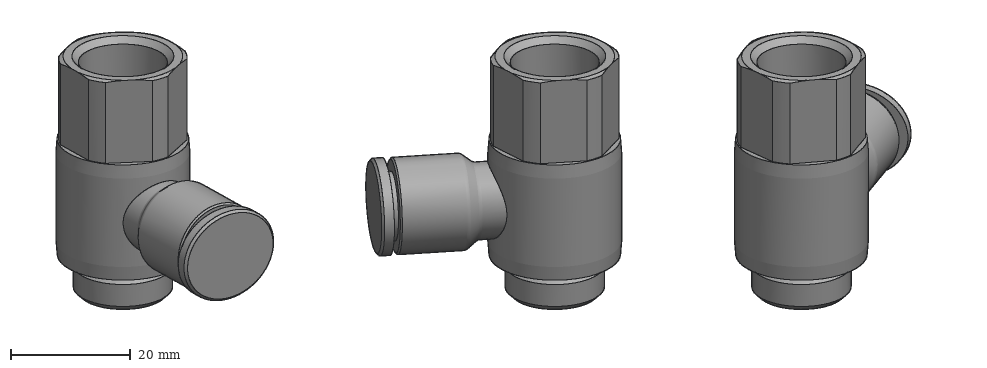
import cadquery as cq
import math

TOTAL_HEIGHT = 43.0
TOTAL_LENGTH = 41.8

BARREL_RADIUS = 22.4 / 2
BARREL_END_RADIUS = 11.0
BARREL_BOTTOM = 6.95
BARREL_TOP = 28.0
BARREL_TAPER_LENGTH = 2.45

SPIGOT_RADIUS = 16.65 / 2
SPIGOT_CHAMFER = 1.0
GROOVE_RADIUS = SPIGOT_RADIUS - SPIGOT_CHAMFER
GROOVE_BOTTOM = 5.98
GROOVE_TOP = 6.4
GROOVE_FLARE_RADIUS = 7.55

HEX_SIDES = 6
HEX_ACROSS_FLATS = 20.0
HEX_CORNER_RADIUS = 10.75
HEX_CHAMFER_ANGLE = 20.0

THROUGH_BORE_RADIUS = 5.5
SOCKET_RADIUS = 7.45
SOCKET_DEPTH = 12.9
COUNTERSINK_RADIUS = 8.5
COUNTERSINK_DEPTH = COUNTERSINK_RADIUS - SOCKET_RADIUS

BRANCH_HEIGHT = (BARREL_BOTTOM + BARREL_TOP) / 2
STEM_RADIUS = 6.55
STEM_END = 13.5
SLEEVE_RADIUS = 8.15
SLEEVE_START = 15.6
SLEEVE_END = 27.3
SLEEVE_CHAMFER = 0.3
BLEND_RADIUS = 1.0

COLLAR_RADIUS = 5.85
RING_HALF_WIDTH = 9.25
RING_HALF_HEIGHT = 8.0
RING_START = 28.5
RING_END = TOTAL_LENGTH - BARREL_RADIUS
RING_CHAMFER = 0.45


def make_barrel_and_spigot():
    """Turned lower body: chamfered spigot, relief groove and tapered barrel."""
    profile = [
        (0, 0),
        (GROOVE_RADIUS, 0),
        (SPIGOT_RADIUS, SPIGOT_CHAMFER),
        (SPIGOT_RADIUS, GROOVE_BOTTOM - SPIGOT_CHAMFER),
        (GROOVE_RADIUS, GROOVE_BOTTOM),
        (GROOVE_RADIUS, GROOVE_TOP),
        (GROOVE_FLARE_RADIUS, BARREL_BOTTOM),
        (BARREL_END_RADIUS, BARREL_BOTTOM),
        (BARREL_RADIUS, BARREL_BOTTOM + BARREL_TAPER_LENGTH),
        (BARREL_RADIUS, BARREL_TOP - BARREL_TAPER_LENGTH),
        (BARREL_END_RADIUS, BARREL_TOP),
        (0, BARREL_TOP),
    ]
    return cq.Workplane("XZ").polyline(profile).close().revolve(360, (0, 0), (0, 1))


def make_hex_head():
    """Hexagonal prism with flats facing +Y and -Y, trimmed by a turned blank with a chamfered top."""
    flat_radius = HEX_ACROSS_FLATS / 2
    chamfer_drop = (HEX_CORNER_RADIUS - flat_radius) * math.tan(math.radians(HEX_CHAMFER_ANGLE))
    blank_profile = [
        (0, BARREL_TOP),
        (HEX_CORNER_RADIUS, BARREL_TOP),
        (HEX_CORNER_RADIUS, TOTAL_HEIGHT - chamfer_drop),
        (flat_radius, TOTAL_HEIGHT),
        (0, TOTAL_HEIGHT),
    ]
    blank = cq.Workplane("XZ").polyline(blank_profile).close().revolve(360, (0, 0), (0, 1))
    corner_distance = flat_radius / math.cos(math.pi / HEX_SIDES)
    corner_angles = [2 * math.pi * corner / HEX_SIDES for corner in range(HEX_SIDES)]
    corners = [(corner_distance * math.cos(a), corner_distance * math.sin(a)) for a in corner_angles]
    prism = (
        cq.Workplane("XY", origin=(0, 0, BARREL_TOP))
        .polyline(corners)
        .close()
        .extrude(TOTAL_HEIGHT - BARREL_TOP)
    )
    return blank.intersect(prism)


def make_bore():
    """Through bore that widens to a countersunk socket in the hexagonal head."""
    socket_floor = TOTAL_HEIGHT - SOCKET_DEPTH
    profile = [
        (0, 0),
        (THROUGH_BORE_RADIUS, 0),
        (THROUGH_BORE_RADIUS, socket_floor),
        (SOCKET_RADIUS, socket_floor),
        (SOCKET_RADIUS, TOTAL_HEIGHT - COUNTERSINK_DEPTH),
        (COUNTERSINK_RADIUS, TOTAL_HEIGHT),
        (0, TOTAL_HEIGHT),
    ]
    return cq.Workplane("XZ").polyline(profile).close().revolve(360, (0, 0), (0, 1))


def make_branch():
    """Turned solid branch: stem, blended cone, sleeve and collar, starting on the main axis."""
    profile = [
        (0, 0),
        (0, STEM_RADIUS),
        (STEM_END, STEM_RADIUS),
        (SLEEVE_START, SLEEVE_RADIUS),
        (SLEEVE_END - SLEEVE_CHAMFER, SLEEVE_RADIUS),
        (SLEEVE_END, SLEEVE_RADIUS - SLEEVE_CHAMFER),
        (SLEEVE_END, COLLAR_RADIUS),
        (RING_START, COLLAR_RADIUS),
        (RING_START, 0),
    ]
    branch = (
        cq.Workplane("XZ", origin=(0, 0, BRANCH_HEIGHT))
        .polyline(profile)
        .close()
        .revolve(360, (0, 0), (1, 0))
    )
    margin = BLEND_RADIUS / 2
    cone_edges = cq.selectors.BoxSelector(
        (STEM_END - margin, -SLEEVE_RADIUS, BRANCH_HEIGHT - SLEEVE_RADIUS),
        (SLEEVE_START + margin, SLEEVE_RADIUS, BRANCH_HEIGHT + SLEEVE_RADIUS),
    )
    return branch.edges("%CIRCLE").edges(cone_edges).fillet(BLEND_RADIUS)


def make_release_ring():
    """Oval ring, wider along Y than along Z, with a chamfered outer end."""
    return (
        cq.Workplane("YZ", origin=(RING_START, 0, BRANCH_HEIGHT))
        .ellipse(RING_HALF_WIDTH, RING_HALF_HEIGHT)
        .extrude(RING_END - RING_START)
        .faces(">X")
        .chamfer(RING_CHAMFER)
    )


result = (
    make_barrel_and_spigot()
    .union(make_hex_head())
    .union(make_branch())
    .union(make_release_ring())
    .cut(make_bore())
)